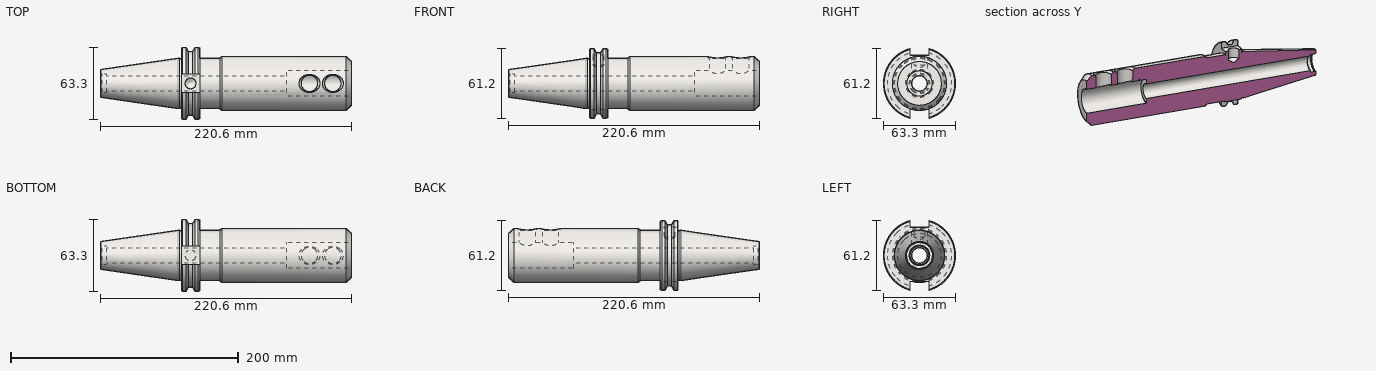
import cadquery as cq
import math

total_length = 220.6
gauge_plane = 68.5
relief_start = 69.7
flange_start = 71.5
flange_end = 87.4
body_start = 105.3

gauge_diameter = 44.4
relief_diameter = 43.7
flange_diameter = 63.3
neck_diameter = 44.4
body_diameter = 47.7
taper_ratio = 7 / 24
small_diameter = gauge_diameter - taper_ratio * gauge_plane

small_end_chamfer = 0.7
flange_chamfer = 0.7
flange_rear_chamfer_length = 1.5
body_rear_chamfer_length = 1.5
body_rear_chamfer_height = 1.0
nose_chamfer_length = 4.9
nose_chamfer_height = 4.6

groove_center = 79.2
groove_floor_width = 3.8
groove_depth = 3.5
groove_wall_angle = 30.0

slot_width = 16.3
top_slot_height = 25.0
bottom_slot_height = 23.0

dimple_diameter = 9.5
dimple_depth = 8.8
drill_point_angle = 118.0

through_diameter = 13.5
stud_diameter = 16.3
stud_depth = 5.3
stud_mouth_diameter = 18.0
stud_mouth_depth = 1.5
tool_bore_diameter = 22.3
tool_bore_depth = 57.4

screw_diameter = 14.3
screw_positions = (183.5, 204.0)
screw_mouth_diameter = 18.5
screw_mouth_angle = 90.0


def make_outer_body():
    """Revolve the taper, flange, neck and body about the X axis."""
    small_radius = small_diameter / 2
    gauge_radius = gauge_diameter / 2
    relief_radius = relief_diameter / 2
    flange_radius = flange_diameter / 2
    neck_radius = neck_diameter / 2
    body_radius = body_diameter / 2
    groove_radius = flange_radius - groove_depth
    floor_half = groove_floor_width / 2
    mouth_half = floor_half + groove_depth * math.tan(math.radians(groove_wall_angle))
    profile = [
        (0, 0),
        (0, small_radius - small_end_chamfer),
        (small_end_chamfer, small_radius + taper_ratio / 2 * small_end_chamfer),
        (gauge_plane, gauge_radius),
        (relief_start, gauge_radius),
        (relief_start, relief_radius),
        (flange_start, relief_radius),
        (flange_start, flange_radius - flange_chamfer),
        (flange_start + flange_chamfer, flange_radius),
        (groove_center - mouth_half, flange_radius),
        (groove_center - floor_half, groove_radius),
        (groove_center + floor_half, groove_radius),
        (groove_center + mouth_half, flange_radius),
        (flange_end - flange_rear_chamfer_length, flange_radius),
        (flange_end, flange_radius - flange_chamfer),
        (flange_end, neck_radius),
        (body_start, neck_radius),
        (body_start, body_radius - body_rear_chamfer_height),
        (body_start + body_rear_chamfer_length, body_radius),
        (total_length - nose_chamfer_length, body_radius),
        (total_length, body_radius - nose_chamfer_height),
        (total_length, 0),
    ]
    return cq.Workplane("XY").polyline(profile).close().revolve(360, (0, 0, 0), (1, 0, 0))


def axial_cylinder(diameter, start, length):
    return cq.Workplane("YZ", origin=(start, 0, 0)).circle(diameter / 2).extrude(length)


def drive_slot(floor_height, direction):
    """Box that cuts the flange outward from its floor; direction is +1 up, -1 down."""
    depth = flange_diameter / 2
    center = ((flange_start + flange_end) / 2, 0, direction * (floor_height + depth / 2))
    return cq.Workplane("XY", origin=center).box(flange_end - flange_start, slot_width, depth)


def downward_cone(diameter, point_angle, x, top):
    """Cone, point down, with the given full angle and its rim at height top."""
    radius = diameter / 2
    height = radius / math.tan(math.radians(point_angle / 2))
    cone = cq.Solid.makeCone(radius, 0, height, cq.Vector(x, 0, top), cq.Vector(0, 0, -1))
    return cq.Workplane(cone)


def screw_hole(x):
    """Radial hole from the top of the body to the axis, with a countersunk mouth."""
    hole = cq.Workplane("XY", origin=(x, 0, 0)).circle(screw_diameter / 2).extrude(body_diameter / 2)
    return hole.union(downward_cone(screw_mouth_diameter, screw_mouth_angle, x, body_diameter / 2))


def dimple():
    """Blind hole with a drill-point bottom."""
    bottom = top_slot_height - dimple_depth
    floor_plane = cq.Workplane("XY", origin=(groove_center, 0, bottom))
    hole = floor_plane.circle(dimple_diameter / 2).extrude(dimple_depth)
    return hole.union(downward_cone(dimple_diameter, drill_point_angle, groove_center, bottom))


def stud_mouth():
    """Tapered lead-in at the small end, narrowing to the stud bore."""
    cone = cq.Solid.makeCone(
        stud_mouth_diameter / 2,
        stud_diameter / 2,
        stud_mouth_depth,
        cq.Vector(0, 0, 0),
        cq.Vector(1, 0, 0),
    )
    return cq.Workplane(cone)


result = make_outer_body()

result = result.cut(axial_cylinder(through_diameter, 0, total_length))
result = result.cut(axial_cylinder(stud_diameter, 0, stud_depth))
result = result.cut(stud_mouth())
result = result.cut(axial_cylinder(tool_bore_diameter, total_length - tool_bore_depth, tool_bore_depth))

result = result.cut(drive_slot(top_slot_height, 1))
result = result.cut(drive_slot(bottom_slot_height, -1))
result = result.cut(dimple())

for screw_x in screw_positions:
    result = result.cut(screw_hole(screw_x))